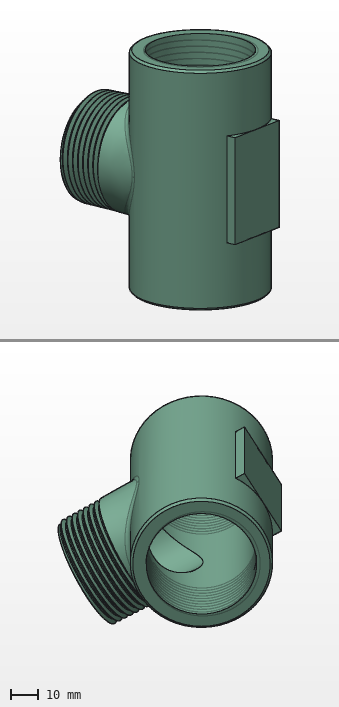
import cadquery as cq
import math

run_length = 90.0
run_diameter = 51.0
run_bore = 39.6
run_chamfer = 0.9
run_thread_depth = 21.8

branch_reach = 48.0
branch_bore = 34.7
branch_thread_length = 17.8
branch_tip_crest_diameter = 41.6
branch_end_crest_diameter = 42.2
branch_tip_chamfer_length = 0.45
branch_tip_chamfer_depth = 1.1
branch_neck_diameter = 42.5
branch_root_diameter = 43.7
branch_fillet = 2.7

pad_face_x = 25.6
pad_width = 26.3
pad_height = 40.1

seven_turn_length = 16.2
thread_pitch = seven_turn_length / 7
male_thread_depth = 1.4
thread_mouth_width = 2.2
thread_root_width = 0.45
female_thread_depth = 1.3
thread_overlap = 0.2
branch_groove_phase = 0.2

thread_taper = (branch_end_crest_diameter - branch_tip_crest_diameter) / 2 / branch_thread_length
neck_x = branch_thread_length - branch_reach


def helical_groove(mouth_radius, depth, start, length, taper=0.0):
    """Right-handed trapezoidal groove cutter around Z, beginning on -X at z = start.

    A positive depth cuts outward from the mouth radius, a negative depth inward.
    """
    if taper:
        half_angle = math.degrees(math.atan(taper))
        helix = cq.Wire.makeHelix(thread_pitch, length, mouth_radius, angle=half_angle)
    else:
        helix = cq.Wire.makeHelix(thread_pitch, length, mouth_radius)
    overlap = math.copysign(thread_overlap, depth)
    flank_spread = (thread_mouth_width - thread_root_width) / 2 / depth
    outside_width = thread_mouth_width + 2 * flank_spread * overlap
    profile = (
        cq.Workplane("XZ")
        .moveTo(mouth_radius - overlap, -outside_width / 2)
        .lineTo(mouth_radius + depth, -thread_root_width / 2)
        .lineTo(mouth_radius + depth, thread_root_width / 2)
        .lineTo(mouth_radius - overlap, outside_width / 2)
        .close()
    )
    groove = profile.sweep(cq.Workplane(obj=helix), isFrenet=True)
    return groove.rotate((0, 0, 0), (0, 0, 1), 180).translate((0, 0, start))


def along_branch(shape):
    """Turn a shape built up +Z so that it runs along +X from the branch tip."""
    return shape.rotate((0, 0, 0), (0, 1, 0), 90).translate((-branch_reach, 0, 0))


def cone(bottom_diameter, top_diameter, height):
    return cq.Workplane(obj=cq.Solid.makeCone(bottom_diameter / 2, top_diameter / 2, height))


def make_body():
    """Run and plain branch neck, blended together, plus the pad."""
    run = cq.Workplane("XY").circle(run_diameter / 2).extrude(run_length / 2, both=True)
    run = run.faces("|Z").chamfer(run_chamfer)
    neck = along_branch(
        cone(branch_neck_diameter, branch_root_diameter, -neck_x).translate((0, 0, branch_thread_length))
    )
    body = run.union(neck)
    joint = cq.selectors.BoxSelector(
        (neck_x + branch_fillet, -run_diameter, -run_length / 4),
        (run_diameter, run_diameter, run_length / 4),
        boundingbox=False,
    )
    body = body.edges(joint).edges("not(|Z)").fillet(branch_fillet)
    pad = cq.Workplane("XY").box(pad_face_x, pad_width, pad_height, centered=(False, True, True))
    return body.union(pad)


def make_branch_thread():
    """Tapered male thread, cut into a conical blank."""
    blank = cone(branch_tip_crest_diameter, branch_end_crest_diameter, branch_thread_length)
    blank = blank.faces("<Z").chamfer(branch_tip_chamfer_length, branch_tip_chamfer_depth)
    start = branch_groove_phase - 2 * thread_pitch
    groove = helical_groove(
        branch_tip_crest_diameter / 2 + thread_taper * start,
        -male_thread_depth,
        start,
        branch_thread_length + thread_pitch - start,
        thread_taper,
    )
    return along_branch(blank.cut(groove, clean=False))


def make_run_groove():
    """Female thread groove that enters at the upper end of the run."""
    start = run_length / 2 - run_thread_depth
    return helical_groove(run_bore / 2, female_thread_depth, start, run_thread_depth + thread_pitch)


body = make_body().union(make_branch_thread(), clean=False)

main_bore = cq.Workplane("XY").workplane(offset=-run_length / 2).circle(run_bore / 2).extrude(run_length)
side_bore = cq.Workplane("YZ").circle(branch_bore / 2).extrude(-branch_reach)
body = body.cut(main_bore, clean=False).cut(side_bore, clean=False)

upper_groove = make_run_groove()
lower_groove = upper_groove.rotate((0, 0, 0), (1, 0, 0), 180)
body = body.cut(upper_groove, clean=False).cut(lower_groove, clean=False)

result = body.solids()